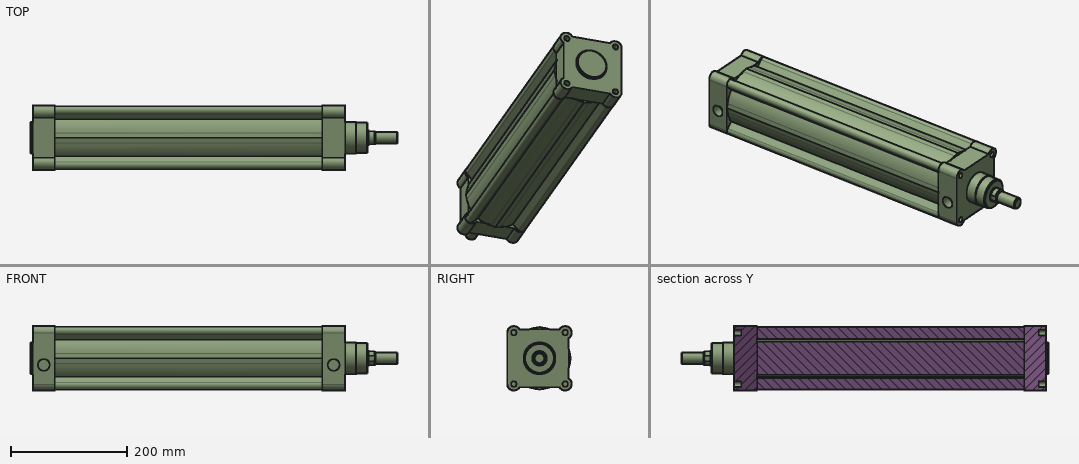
import cadquery as cq
import math

OVERALL_LENGTH = 633.0
REAR_BOSS_LENGTH = 4.5
REAR_CAP_LENGTH = 38.0
FRONT_CAP_LENGTH = 40.0
FRONT_CAP_END = 542.0
LARGE_BOSS_LENGTH = 20.0
SMALL_BOSS_LENGTH = 18.5
LIP_LENGTH = 2.0

REAR_CAP_START = REAR_BOSS_LENGTH
BARREL_START = REAR_CAP_START + REAR_CAP_LENGTH
BARREL_END = FRONT_CAP_END - FRONT_CAP_LENGTH
LARGE_BOSS_END = FRONT_CAP_END + LARGE_BOSS_LENGTH
SMALL_BOSS_END = LARGE_BOSS_END + SMALL_BOSS_LENGTH
LIP_END = SMALL_BOSS_END + LIP_LENGTH

CAP_WIDTH = 111.5
SCREW_PITCH = 88.5
FLANK_INSET = 6.0
SCREW_HOLE_DIAMETER = 9.5
SCREW_HOLE_DEPTH = 12.5
BOSS_DIAMETER = 55.0
SMALL_BOSS_DIAMETER = 53.0
BOSS_CHAMFER = 2.0
LIP_DIAMETER = 25.0
PORT_DIAMETER = 20.0
PORT_DEPTH = 19.0
PORT_DROP = 11.5

CAP_HALF = CAP_WIDTH / 2
SCREW_OFFSET = SCREW_PITCH / 2
LOBE_RADIUS = CAP_HALF - SCREW_OFFSET
FLANK = CAP_HALF - FLANK_INSET

BARREL_RADIUS = 53.0
RIB_OUTER = 54.5
RIB_RADIUS = 7.5
RIB_CENTRE = RIB_OUTER - RIB_RADIUS
CREST_HALF_WIDTH = 9.0

CREST_BASE = math.sqrt(BARREL_RADIUS ** 2 - CREST_HALF_WIDTH ** 2)
CREST_PEAK = BARREL_RADIUS ** 2 / CREST_BASE

ROD_DIAMETER = 24.5
ROD_SHOULDER = 595.0
ROD_CHAMFER = 2.5
FLATS_WIDTH = 23.0
THREAD_DIAMETER = 20.0
THREAD_CHAMFER = 2.0


def cylinder_x(start, end, diameter):
    """Cylinder on the part axis between two X positions."""
    return cq.Workplane("YZ", origin=(start, 0, 0)).circle(diameter / 2).extrude(end - start)


def block_x(start, end, y_min, y_max, z_half):
    """Box between two X positions and two Y positions, centred on Z = 0."""
    size = (end - start, y_max - y_min, 2 * z_half)
    return cq.Workplane("XY").box(*size, centered=(False, False, True)).translate((start, y_min, 0))


def corners(offset):
    """The four corner positions of a square, as (Y, Z) pairs."""
    return [(y, z) for y in (-offset, offset) for z in (-offset, offset)]


def cap_plate(start, end):
    """Plate with a round lobe at each corner; its -Y side is flush with the lobes."""
    core = block_x(start, end, -FLANK, FLANK, FLANK)
    lobes = cq.Workplane("YZ", origin=(start, 0, 0)).pushPoints(corners(SCREW_OFFSET))
    plate = core.union(lobes.circle(LOBE_RADIUS).extrude(end - start))
    return plate.union(block_x(start, end, -CAP_HALF, 0, SCREW_OFFSET))


def screw_holes(face_x, depth):
    """Blind holes at the four corners; a negative depth drills toward -X."""
    holes = cq.Workplane("YZ", origin=(face_x, 0, 0)).pushPoints(corners(SCREW_OFFSET))
    return holes.circle(SCREW_HOLE_DIAMETER / 2).extrude(depth)


def air_port(start, end):
    """Blind port in the middle of the -Y side of a cap."""
    plane = cq.Workplane("XZ", origin=((start + end) / 2, -CAP_HALF, -PORT_DROP))
    return plane.circle(PORT_DIAMETER / 2).extrude(-PORT_DEPTH)


def make_rear_cap():
    boss = cylinder_x(0, REAR_CAP_START, BOSS_DIAMETER).faces("<X").chamfer(BOSS_CHAMFER)
    cap = cap_plate(REAR_CAP_START, BARREL_START).union(boss)
    cap = cap.cut(screw_holes(REAR_CAP_START, SCREW_HOLE_DEPTH))
    return cap.cut(air_port(REAR_CAP_START, BARREL_START))


def make_front_cap():
    large_boss = cylinder_x(FRONT_CAP_END, LARGE_BOSS_END, BOSS_DIAMETER)
    large_boss = large_boss.faces(">X").chamfer(BOSS_CHAMFER)
    small_boss = cylinder_x(FRONT_CAP_END, SMALL_BOSS_END, SMALL_BOSS_DIAMETER)
    small_boss = small_boss.faces(">X").chamfer(BOSS_CHAMFER)
    cap = cap_plate(BARREL_END, FRONT_CAP_END).union(large_boss).union(small_boss)
    cap = cap.union(cylinder_x(SMALL_BOSS_END, LIP_END, LIP_DIAMETER))
    cap = cap.cut(screw_holes(FRONT_CAP_END, -SCREW_HOLE_DEPTH))
    return cap.cut(air_port(BARREL_END, FRONT_CAP_END))


def make_barrel():
    """Round barrel with a round-edged rib on each diagonal and a crest on each side."""
    barrel = cylinder_x(BARREL_START, BARREL_END, 2 * BARREL_RADIUS)
    rib_span = 2 * RIB_CENTRE * math.sqrt(2) + 2 * RIB_RADIUS
    for angle in (45, 135):
        ribs = cq.Workplane("YZ", origin=(BARREL_START, 0, 0)).slot2D(rib_span, 2 * RIB_RADIUS, angle)
        barrel = barrel.union(ribs.extrude(BARREL_END - BARREL_START))
    return barrel.union(side_crests())


def side_crests():
    """Shallow roof-shaped crests on the four sides, in two crossing pairs."""
    profile = [
        (-CREST_HALF_WIDTH, CREST_BASE),
        (0, CREST_PEAK),
        (CREST_HALF_WIDTH, CREST_BASE),
        (CREST_HALF_WIDTH, -CREST_BASE),
        (0, -CREST_PEAK),
        (-CREST_HALF_WIDTH, -CREST_BASE),
    ]
    pair = cq.Workplane("YZ", origin=(BARREL_START, 0, 0)).polyline(profile).close()
    pair = pair.extrude(BARREL_END - BARREL_START)
    return pair.union(pair.rotate((0, 0, 0), (1, 0, 0), 90))


def make_rod():
    """Rod end with two wrench flats and a thinner threaded end."""
    shank = cylinder_x(LIP_END, ROD_SHOULDER, ROD_DIAMETER).faces(">X").chamfer(ROD_CHAMFER)
    flats_zone = block_x(LIP_END, ROD_SHOULDER, -ROD_DIAMETER, ROD_DIAMETER, ROD_DIAMETER)
    kept = block_x(LIP_END, ROD_SHOULDER, -FLATS_WIDTH / 2, FLATS_WIDTH / 2, ROD_DIAMETER)
    shank = shank.cut(flats_zone.cut(kept))
    thread = cylinder_x(ROD_SHOULDER, OVERALL_LENGTH, THREAD_DIAMETER)
    return shank.union(thread.faces(">X").chamfer(THREAD_CHAMFER))


rear_cap = make_rear_cap()
barrel = make_barrel()
front_cap = make_front_cap()
rod = make_rod()

result = cq.Compound.makeCompound([rear_cap.val(), barrel.val(), front_cap.val(), rod.val()])